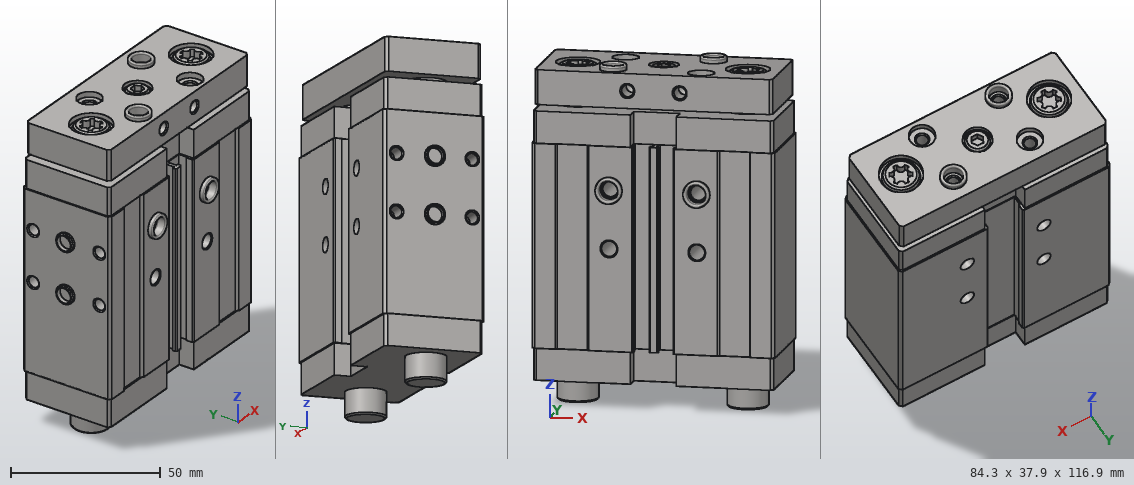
import cadquery as cq
import math


rod_stub = 9.0
cap_height = 11.0
profile_height = 70.0
stroke_gap = 2.1
plate_height = 11.9
bottom_cap_z = rod_stub
profile_z = bottom_cap_z + cap_height
top_cap_z = profile_z + profile_height
plate_z = top_cap_z + cap_height + stroke_gap
plate_top = plate_z + plate_height

profile_width, profile_depth = 82.9, 36.0
cap_width, cap_depth = 82.0, 34.9
plate_width, plate_depth = 81.1, 34.1
corner_chamfer = 1.0
profile_side = profile_width / 2
profile_face = profile_depth / 2
plate_face = plate_depth / 2

cap_groove_floor = 11.6
cap_groove_width = 15.7
profile_groove_floor = 11.8
profile_groove_width = 14.5
lip_gap = 13.5
lip_thickness = 2.8
lip_chamfer = 0.5

rail_web_width = 1.4
rail_base_chamfer = 0.6
rail_head_width = 3.0
rail_head_thickness = 1.5
rail_height = 5.1
rail_chamfer = 0.5

recess_outer, recess_inner = 33.3, 22.0
recess_depth = 1.0
recess_outer_run = 0.5
recess_inner_run = 0.7

rod_spacing = 58.0
rod_y = -1.5
rod_diameter = 14.0
rod_end_chamfer = 0.6
rod_head_diameter = 13.1
rod_head_middle_diameter = 12.1
rod_head_top_diameter = 10.5
rod_head_bevel_height = 0.5
head_recess = 0.2
rod_counterbore_diameter = 15.0
rod_counterbore_depth = 1.9
star_diameter = 8.0
star_lobes = 6
star_scallop_radius = 1.4
star_scallop_offset = 4.2
star_depth = 2.9

piston_diameter = 8.0
piston_head_diameter = 8.5
piston_head_chamfer = 0.7
piston_counterbore_diameter = 10.0
piston_counterbore_depth = 1.5
hex_across_flats = 4.0
hex_depth = 2.3

sleeve_diameter = 9.0
sleeve_bore = 6.5
sleeve_protrusion = 1.9
seat_depth = 2.1

hole_chamfer = 0.5
thread_diameter = 4.1
thread_depth = 8.0
drill_point_angle = 118
mount_spacing_x = 30.0
mount_pitch = 20.0
upper_row_z = 75.0
lower_row_z = upper_row_z - mount_pitch
mount_diameter = 5.3
mount_chamfer = 0.4
plate_pattern_y = -0.9
plate_front_hole_spacing = 17.9
side_hole_spacing = 27.0

plug_diameter = 7.0
plug_protrusion = 1.4
plug_insertion = 3.0
plug_bore = 5.6
plug_bore_depth = 1.9
plug_chamfer = 0.5

mount_columns = (-mount_spacing_x / 2, mount_spacing_x / 2)
plate_rows = (plate_pattern_y - mount_pitch / 2, plate_pattern_y + mount_pitch / 2)
side_rows = (upper_row_z, lower_row_z)
rod_positions = [(-rod_spacing / 2, rod_y), (rod_spacing / 2, rod_y)]

UP, DOWN, FRONT, INWARD_X, INWARD_Y = (0, 0, 1), (0, 0, -1), (0, -1, 0), (1, 0, 0), (0, 1, 0)


def rod(diameter, length, start, direction):
    """Plain cylinder from a start point along a direction."""
    return cq.Workplane(cq.Solid.makeCylinder(diameter / 2, length, cq.Vector(*start), cq.Vector(*direction)))


def cone(bottom_diameter, top_diameter, length, start, direction):
    """Cone, or truncated cone, from a start point along a direction."""
    radii = (bottom_diameter / 2, top_diameter / 2)
    return cq.Workplane(cq.Solid.makeCone(*radii, length, cq.Vector(*start), cq.Vector(*direction)))


def block(width, depth, height, base_z):
    """Upright block centred on the Z axis with chamfered vertical edges."""
    body = cq.Workplane("XY").workplane(offset=base_z).rect(width, depth).extrude(height)
    return body.edges("|Z").chamfer(corner_chamfer)


def mouth_chamfer(diameter, size, start, direction):
    """Conical tool that bevels the mouth of a hole."""
    return cone(diameter + 2 * size, diameter, size, start, direction)


def threaded_hole(start, direction):
    """Blind hole with a chamfered mouth and a conical drill point."""
    tip_length = thread_diameter / 2 / math.tan(math.radians(drill_point_angle / 2))
    tip_start = [s + thread_depth * d for s, d in zip(start, direction)]
    hole = rod(thread_diameter, thread_depth, start, direction)
    hole = hole.union(cone(thread_diameter, 0, tip_length, tip_start, direction))
    return hole.union(mouth_chamfer(thread_diameter, hole_chamfer, start, direction))


def prism(outline, base_z, height):
    """Upright body with a closed outline of straight lines."""
    return cq.Workplane("XY").workplane(offset=base_z).polyline(outline).close().extrude(height)


def mirrored_outline(right_half):
    """Closed outline from its right half, listed from the floor outwards."""
    return right_half + [(-x, y) for x, y in reversed(right_half)]


def front_and_back(front):
    """A shape on the front together with its mirror image on the back."""
    return front.union(front.mirror("XZ"))


def cap_groove(cap_z):
    """Plain grooves in the front and back of a cap."""
    half = cap_groove_width / 2
    outline = mirrored_outline([(half, -cap_groove_floor), (half, -cap_depth / 2)])
    return front_and_back(prism(outline, cap_z, cap_height))


def profile_groove():
    """Grooves whose mouths are narrowed by a lip on each side."""
    half, half_gap = profile_groove_width / 2, lip_gap / 2
    lip_back = -profile_face + lip_thickness
    outline = mirrored_outline([
        (half, -profile_groove_floor),
        (half, lip_back),
        (half_gap, lip_back),
        (half_gap, -profile_face + lip_chamfer),
        (half_gap + lip_chamfer, -profile_face),
    ])
    return front_and_back(prism(outline, profile_z, profile_height))


def rail():
    """T-shaped rail standing on the floor of the front groove."""
    half_web, half_head = rail_web_width / 2, rail_head_width / 2
    front = -profile_groove_floor - rail_height
    head_back = front + rail_head_thickness
    outline = mirrored_outline([
        (half_web + rail_base_chamfer, -profile_groove_floor),
        (half_web, -profile_groove_floor - rail_base_chamfer),
        (half_web, head_back),
        (half_head, head_back),
        (half_head, front + rail_chamfer),
        (half_head - rail_chamfer, front),
    ])
    return prism(outline, profile_z, profile_height)


def recess_tool(side):
    """Shallow recess with sloping walls, on the left (-1) or right (+1) of the front face."""
    floor = -profile_face + recess_depth
    outline = [
        (side * recess_outer, -profile_face),
        (side * (recess_outer - recess_outer_run), floor),
        (side * (recess_inner + recess_inner_run), floor),
        (side * recess_inner, -profile_face),
    ]
    return prism(outline, profile_z, profile_height)


def make_housing():
    """Grooved profile between two smaller caps, with its bores and holes."""
    profile = block(profile_width, profile_depth, profile_height, profile_z)
    profile = profile.cut(profile_groove())
    for side in (-1, 1):
        profile = profile.cut(recess_tool(side))
    housing = profile.union(rail())
    for cap_z in (bottom_cap_z, top_cap_z):
        cap = block(cap_width, cap_depth, cap_height, cap_z)
        housing = housing.union(cap.cut(cap_groove(cap_z)))

    for x, y in rod_positions:
        housing = housing.cut(rod(rod_diameter, plate_z, (x, y, 0), UP))
    housing = housing.cut(rod(piston_diameter, plate_z - profile_z, (0, 0, profile_z), UP))

    for x in mount_columns:
        for z in side_rows:
            housing = housing.cut(rod(mount_diameter, profile_depth, (x, -profile_face, z), INWARD_Y))
        upper_mouth = (x, -profile_face + seat_depth, upper_row_z)
        housing = housing.cut(rod(sleeve_diameter, seat_depth, (x, -profile_face, upper_row_z), INWARD_Y))
        for mouth in (upper_mouth, (x, -profile_face, lower_row_z)):
            housing = housing.cut(mouth_chamfer(mount_diameter, mount_chamfer, mouth, INWARD_Y))

    for z in side_rows:
        for y in (-side_hole_spacing / 2, side_hole_spacing / 2):
            housing = housing.cut(threaded_hole((-profile_side, y, z), INWARD_X))
        housing = housing.cut(rod(plug_diameter, plug_insertion, (-profile_side, 0, z), INWARD_X))
    return housing


def make_piston_rod():
    """Piston rod with a bevelled head that has a hexagon socket."""
    head_top = plate_top - head_recess
    shaft = rod(piston_diameter, plate_z - profile_z, (0, 0, profile_z), UP)
    head = rod(piston_head_diameter, head_top - plate_z, (0, 0, plate_z), UP)
    head = head.faces(">Z").edges().chamfer(piston_head_chamfer)
    hex_socket = (
        cq.Workplane("XY")
        .workplane(offset=head_top - hex_depth)
        .polygon(6, hex_across_flats / math.cos(math.radians(30)))
        .extrude(hex_depth)
    )
    return shaft.union(head.cut(hex_socket))


def make_front_plate():
    """Front plate in one piece with the piston rod that drives it."""
    plate = block(plate_width, plate_depth, plate_height, plate_z)

    for x, y in rod_positions:
        plate = plate.cut(rod(rod_head_diameter, plate_height, (x, y, plate_z), UP))
        plate = plate.cut(rod(rod_counterbore_diameter, rod_counterbore_depth, (x, y, plate_top), DOWN))
    plate = plate.cut(rod(piston_head_diameter, plate_height, (0, 0, plate_z), UP))
    plate = plate.cut(rod(piston_counterbore_diameter, piston_counterbore_depth, (0, 0, plate_top), DOWN))

    for x in mount_columns:
        for y in plate_rows:
            seat_floor = (x, y, plate_top - seat_depth)
            plate = plate.cut(rod(sleeve_diameter, seat_depth, (x, y, plate_top), DOWN))
            plate = plate.cut(rod(thread_diameter, plate_height, (x, y, plate_z), UP))
            plate = plate.cut(mouth_chamfer(thread_diameter, hole_chamfer, seat_floor, DOWN))

    for x in (-plate_front_hole_spacing / 2, plate_front_hole_spacing / 2):
        plate = plate.cut(threaded_hole((x, -plate_face, plate_z + plate_height / 2), INWARD_Y))
    return plate.union(make_piston_rod())


def star_socket(x, y, top_z):
    """Six-lobed socket: a round pocket narrowed by scallops between the points."""
    socket = rod(star_diameter, star_depth, (x, y, top_z), DOWN)
    for lobe in range(star_lobes):
        angle = 2 * math.pi * lobe / star_lobes
        scallop_x = x + star_scallop_offset * math.cos(angle)
        scallop_y = y + star_scallop_offset * math.sin(angle)
        socket = socket.cut(rod(2 * star_scallop_radius, star_depth, (scallop_x, scallop_y, top_z), DOWN))
    return socket


def make_guide_rod(x, y):
    """Guide rod with a thinner head that fills the stepped seat of the plate and tapers above it."""
    head_top = plate_top - head_recess
    bevel_z = head_top - rod_head_bevel_height
    counterbore_floor = plate_top - rod_counterbore_depth
    shaft = rod(rod_diameter, plate_z, (x, y, 0), UP)
    shaft = shaft.faces("<Z").edges().chamfer(rod_end_chamfer)
    neck = rod(rod_head_diameter, counterbore_floor - plate_z, (x, y, plate_z), UP)
    taper = cone(
        rod_head_diameter, rod_head_middle_diameter, bevel_z - counterbore_floor, (x, y, counterbore_floor), UP
    )
    bevel = cone(rod_head_middle_diameter, rod_head_top_diameter, rod_head_bevel_height, (x, y, bevel_z), UP)
    return shaft.union(neck).union(taper).union(bevel).cut(star_socket(x, y, head_top))


def make_sleeve(seat_floor, direction):
    """Locating ring with fully rounded ends, standing on a seat floor."""
    inner, outer = sleeve_bore / 2, sleeve_diameter / 2
    middle = (inner + outer) / 2
    rounding = (outer - inner) / 2
    length = seat_depth + sleeve_protrusion
    radial = cq.Vector(1, 0, 0)
    section = cq.Plane(origin=seat_floor, xDir=radial, normal=radial.cross(cq.Vector(*direction)))
    return (
        cq.Workplane(section)
        .moveTo(inner, rounding)
        .threePointArc((middle, 0), (outer, rounding))
        .lineTo(outer, length - rounding)
        .threePointArc((middle, length), (inner, length - rounding))
        .close()
        .revolve(360, (0, 0), (0, 1))
    )


def make_plug(z):
    """Round plug in the left side with a shallow round socket."""
    tip_x = -profile_side - plug_protrusion
    plug = rod(plug_diameter, plug_protrusion + plug_insertion, (tip_x, 0, z), INWARD_X)
    plug = plug.faces("<X").edges().chamfer(plug_chamfer)
    return plug.cut(rod(plug_bore, plug_bore_depth, (tip_x, 0, z), INWARD_X))


housing = make_housing()
front_plate = make_front_plate()
guide_rods = [make_guide_rod(x, y) for x, y in rod_positions]

plate_seat_z = plate_top - seat_depth
sleeves = [make_sleeve((x, y, plate_seat_z), UP) for x, y in zip(mount_columns, plate_rows)]
sleeves += [make_sleeve((x, -profile_face + seat_depth, upper_row_z), FRONT) for x in mount_columns]
plugs = [make_plug(z) for z in side_rows]

bodies = [housing, front_plate, *guide_rods, *sleeves, *plugs]
result = cq.Compound.makeCompound([body.val() for body in bodies])